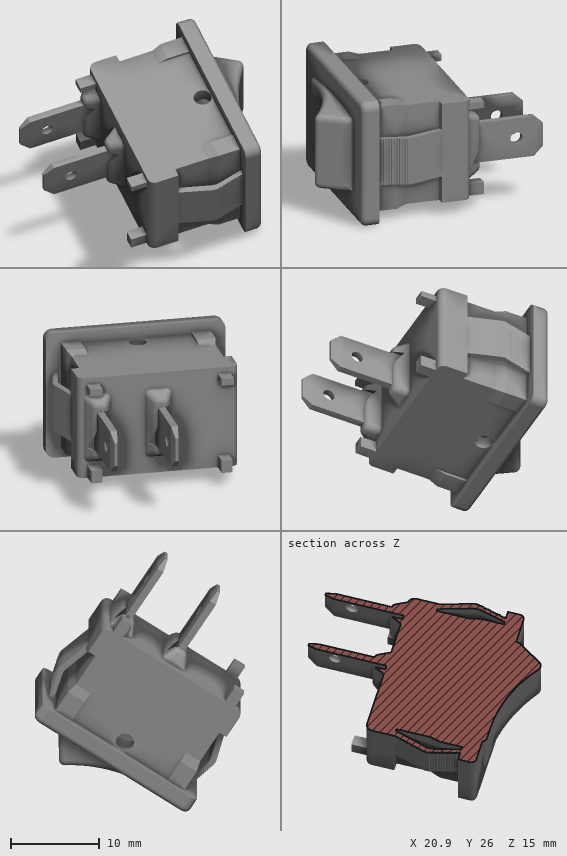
import cadquery as cq
import math


BEZEL_WIDTH = 20.77
BEZEL_HEIGHT = 14.97
BEZEL_DEPTH = 2.03
BEZEL_CORNER_RADIUS = 1.02
BEZEL_EDGE_RADIUS = 0.62

BODY_WIDTH = 16.65
BODY_HEIGHT = 11.97
BODY_DEPTH = 11.2
REAR_WIDTH = 18.55
REAR_START = 7.75
REAR_CORNER_RADIUS = 0.8

PAD_RAISE = 0.3
PAD_WIDTH = 2.2
PAD_LENGTH = 2.6
PAD_RAMP_LENGTH = 1.17

CLIP_HEIGHT = 5.57
CLIP_THICKNESS = 0.7
CLIP_SPAN = 20.9
CLIP_BEND_RADIUS = 2.7
CLIP_BEND_Y = -3.4
CLIP_FRONT_ANGLE = 15.0
CLIP_REAR_ANGLE = 17.0
TOOTH_COUNT = 12
TOOTHED_LENGTH = 3.51
TOOTH_PITCH = TOOTHED_LENGTH / TOOTH_COUNT
TOOTH_RISER = 0.05
FIRST_TOOTH_Y = -0.13

FOOT_LENGTH = 1.9
FOOT_INNER_X = 6.9
UPPER_FOOT_WIDTH = 1.43
UPPER_FOOT_HEIGHT = 0.78
UPPER_FOOT_TOP = 5.28
LOWER_FOOT_WIDTH = 1.28
LOWER_FOOT_HEIGHT = 1.48

TERMINAL_SPACING = 7.05
BLADE_THICKNESS = 0.8
BLADE_HEIGHT = 4.8
BLADE_END_Y = -20.43
BLADE_TIP_LENGTH = 1.15
BLADE_TIP_HEIGHT = 2.75
BLADE_TIP_THICKNESS = 0.35
BLADE_HOLE_DIAMETER = 1.4
BLADE_HOLE_Y = -17.2
SHROUD_WIDTH = 3.07
SHROUD_HEIGHT = 8.07
SHROUD_DEPTH = 1.65
SHROUD_WIDTH_ANGLE = 27.5
SHROUD_HEIGHT_ANGLE = 24.0
SHROUD_RADIUS = 0.7
SLOT_WIDTH = 0.9
SLOT_HEIGHT = 5.0
SLOT_TWIST = 20.0

ROCKER_TILT = 15.0
ROCKER_ROOT_Y = 0.25
ROCKER_HALF_HEIGHT = 4.95
ROCKER_SIDE_RADIUS = 54.15
ROCKER_SIDE_DRAFT = 4.0
ROCKER_EDGE_RADIUS = 0.68

PIVOT_DIAMETER = 2.03
PIVOT_Y = -1.05
PIVOT_DEPTH = 1.55
PIVOT_BEVEL_ANGLE = 30.0
PIVOT_BEVEL_OFFSET = 0.13


def box_between(x_range, y_range, z_range):
    """A box given by its lowest and highest X, Y and Z."""
    size = [high - low for low, high in (x_range, y_range, z_range)]
    return cq.Workplane("XY").box(*size, centered=False).translate((x_range[0], y_range[0], z_range[0]))


def rear_facing_plane(x, y):
    """A plane whose normal is -Y, with its local Y along +Z and its local X along +X."""
    return cq.Plane(origin=(x, y, 0), xDir=(1, 0, 0), normal=(0, -1, 0))


def mirrored_in_x(shape):
    return shape.union(shape.mirror("YZ"))


def mirrored_in_z(shape):
    return shape.union(shape.mirror("XY"))


def make_bezel():
    bezel = box_between(
        (-BEZEL_WIDTH / 2, BEZEL_WIDTH / 2), (0, BEZEL_DEPTH), (-BEZEL_HEIGHT / 2, BEZEL_HEIGHT / 2)
    )
    bezel = bezel.edges("|Y").fillet(BEZEL_CORNER_RADIUS)
    return bezel.faces(">Y").edges().fillet(BEZEL_EDGE_RADIUS)


def make_body():
    z_range = (-BODY_HEIGHT / 2, BODY_HEIGHT / 2)
    front = box_between((-BODY_WIDTH / 2, BODY_WIDTH / 2), (-BODY_DEPTH, 0), z_range)
    rear = box_between((-REAR_WIDTH / 2, REAR_WIDTH / 2), (-BODY_DEPTH, -REAR_START), z_range)
    rear = rear.edges("|Z and <Y").fillet(REAR_CORNER_RADIUS)
    return front.union(rear)


def make_pads():
    """Full-height pads on the body's two ends, ramped down to the body at the rear."""
    outer_x = BODY_WIDTH / 2 + PAD_RAISE
    inner_x = outer_x - PAD_WIDTH
    raised_height = BODY_HEIGHT + 2 * PAD_RAISE
    straight = box_between(
        (inner_x, outer_x), (-PAD_LENGTH, 0), (-raised_height / 2, raised_height / 2)
    )
    ramp_width = PAD_WIDTH - PAD_RAISE
    ramp = (
        cq.Workplane(rear_facing_plane(inner_x + PAD_WIDTH / 2, -PAD_LENGTH))
        .rect(PAD_WIDTH, raised_height)
        .workplane(offset=PAD_RAMP_LENGTH)
        .center((ramp_width - PAD_WIDTH) / 2, 0)
        .rect(ramp_width, BODY_HEIGHT)
        .loft(ruled=True)
    )
    return mirrored_in_x(straight.union(ramp))


def make_clips():
    """Bent spring arms beside the body, with saw teeth along the front half of their outer face."""
    front_slope = math.tan(math.radians(CLIP_FRONT_ANGLE))
    rear_slope = math.tan(math.radians(CLIP_REAR_ANGLE))
    reach = CLIP_SPAN / 2
    bend_x = reach - CLIP_BEND_RADIUS
    inner_radius = CLIP_BEND_RADIUS - CLIP_THICKNESS

    def on_bend(radius, angle):
        turn = math.radians(angle)
        return (bend_x + radius * math.cos(turn), CLIP_BEND_Y + radius * math.sin(turn))

    def along_slope(point, y, slope):
        return (point[0] - abs(y - point[1]) * slope, y)

    inner_front_bend = on_bend(inner_radius, CLIP_FRONT_ANGLE)
    inner_rear_bend = on_bend(inner_radius, -CLIP_REAR_ANGLE)
    outer_rear_bend = on_bend(CLIP_BEND_RADIUS, -CLIP_REAR_ANGLE)
    last_tooth_y = FIRST_TOOTH_Y - (TOOTH_COUNT - 1) * TOOTH_PITCH
    last_tooth = (reach, last_tooth_y)
    valley_run = TOOTH_PITCH - TOOTH_RISER

    first_peak = along_slope(last_tooth, FIRST_TOOTH_Y, front_slope)
    root_x = first_peak[0] - (TOOTH_PITCH + valley_run) * front_slope
    teeth = [(root_x, FIRST_TOOTH_Y + TOOTH_RISER)]
    for index in range(TOOTH_COUNT):
        peak = along_slope(last_tooth, FIRST_TOOTH_Y - index * TOOTH_PITCH, front_slope)
        teeth.append(peak)
        teeth.append(along_slope(peak, peak[1] - valley_run, front_slope))
    teeth_end_angle = math.degrees(math.asin((teeth[-1][1] - CLIP_BEND_Y) / CLIP_BEND_RADIUS))
    bend_middle_angle = (teeth_end_angle - CLIP_REAR_ANGLE) / 2

    arm = (
        cq.Workplane("XY")
        .moveTo(root_x, 0)
        .polyline(teeth, includeCurrent=True)
        .lineTo(*on_bend(CLIP_BEND_RADIUS, teeth_end_angle))
        .threePointArc(on_bend(CLIP_BEND_RADIUS, bend_middle_angle), outer_rear_bend)
        .lineTo(*along_slope(outer_rear_bend, -REAR_START, rear_slope))
        .lineTo(*along_slope(inner_rear_bend, -REAR_START, rear_slope))
        .lineTo(*inner_rear_bend)
        .threePointArc(on_bend(inner_radius, 0), inner_front_bend)
        .lineTo(*along_slope(inner_front_bend, 0, front_slope))
        .close()
        .extrude(CLIP_HEIGHT / 2, both=True)
    )
    return mirrored_in_x(arm)


def make_feet():
    y_range = (-BODY_DEPTH - FOOT_LENGTH, -BODY_DEPTH)
    upper = box_between(
        (FOOT_INNER_X, FOOT_INNER_X + UPPER_FOOT_WIDTH),
        y_range,
        (UPPER_FOOT_TOP - UPPER_FOOT_HEIGHT, UPPER_FOOT_TOP),
    )
    lower_foot_bottom = -BODY_HEIGHT / 2
    lower = box_between(
        (FOOT_INNER_X, FOOT_INNER_X + LOWER_FOOT_WIDTH),
        y_range,
        (lower_foot_bottom, lower_foot_bottom + LOWER_FOOT_HEIGHT),
    )
    return mirrored_in_x(upper.union(lower))


def make_shroud(x):
    """A tapered, rounded boss with a twisted slot around the blade."""
    top_width = SHROUD_WIDTH - 2 * SHROUD_DEPTH * math.tan(math.radians(SHROUD_WIDTH_ANGLE))
    top_height = SHROUD_HEIGHT - 2 * SHROUD_DEPTH * math.tan(math.radians(SHROUD_HEIGHT_ANGLE))
    root_plane = rear_facing_plane(x, -BODY_DEPTH)
    shroud = (
        cq.Workplane(root_plane)
        .rect(SHROUD_WIDTH, SHROUD_HEIGHT)
        .workplane(offset=SHROUD_DEPTH)
        .rect(top_width, top_height)
        .loft(ruled=True)
    )
    shroud = shroud.edges("not >Y").fillet(SHROUD_RADIUS)
    slot = (
        cq.Workplane(root_plane)
        .transformed(rotate=(0, 0, -SLOT_TWIST))
        .rect(SLOT_WIDTH, SLOT_HEIGHT)
        .extrude(SHROUD_DEPTH)
    )
    skirt = (
        cq.Workplane(root_plane)
        .rect(SHROUD_WIDTH, SHROUD_HEIGHT)
        .extrude(-REAR_CORNER_RADIUS)
        .edges("|Y")
        .fillet(SHROUD_RADIUS)
    )
    return shroud.cut(slot).union(skirt)


def make_blade(x):
    """A flat tab terminal with a hole and a tip bevelled on all four sides."""
    tip_start_y = BLADE_END_Y + BLADE_TIP_LENGTH
    shank = box_between(
        (x - BLADE_THICKNESS / 2, x + BLADE_THICKNESS / 2),
        (tip_start_y, -BODY_DEPTH),
        (-BLADE_HEIGHT / 2, BLADE_HEIGHT / 2),
    )
    tip = (
        cq.Workplane(rear_facing_plane(x, tip_start_y))
        .rect(BLADE_THICKNESS, BLADE_HEIGHT)
        .workplane(offset=BLADE_TIP_LENGTH)
        .rect(BLADE_TIP_THICKNESS, BLADE_TIP_HEIGHT)
        .loft(ruled=True)
    )
    hole = (
        cq.Workplane("YZ", origin=(x, 0, 0))
        .center(BLADE_HOLE_Y, 0)
        .circle(BLADE_HOLE_DIAMETER / 2)
        .extrude(BLADE_THICKNESS, both=True)
    )
    return shank.union(tip).cut(hole)


def make_rocker():
    """The tilted rocker: a concave finger face, with barrel-shaped, drafted sides."""
    left_root = (-6.77, ROCKER_ROOT_Y)
    left_kink = (-6.7, 2.4)
    raised_tip = (-4.35, 5.9)
    lowered_end_y = 2.4
    finger_curve_end_x = 5.4
    right_x = 7.37
    edge_margin = 0.03
    profile = (
        cq.Workplane("XY")
        .moveTo(right_x, ROCKER_ROOT_Y)
        .lineTo(right_x, lowered_end_y)
        .lineTo(finger_curve_end_x, lowered_end_y)
        .tangentArcPoint(raised_tip, relative=False)
        .lineTo(*left_kink)
        .lineTo(*left_root)
        .close()
        .extrude(ROCKER_HALF_HEIGHT, both=True)
    )
    end_x = BEZEL_WIDTH / 2
    sag = ROCKER_SIDE_RADIUS - math.sqrt(ROCKER_SIDE_RADIUS**2 - end_x**2)
    end_z = ROCKER_HALF_HEIGHT - sag
    sides = (
        cq.Workplane("XZ", origin=(0, ROCKER_ROOT_Y, 0))
        .moveTo(-end_x, -end_z)
        .threePointArc((0, -ROCKER_HALF_HEIGHT), (end_x, -end_z))
        .lineTo(end_x, end_z)
        .threePointArc((0, ROCKER_HALF_HEIGHT), (-end_x, end_z))
        .close()
        .extrude(-BODY_DEPTH, taper=ROCKER_SIDE_DRAFT)
    )
    rocker = profile.intersect(sides)
    upper_edges = cq.selectors.BoxSelector(
        (left_kink[0] + edge_margin, lowered_end_y - edge_margin, -BEZEL_HEIGHT),
        (right_x + edge_margin, raised_tip[1] + edge_margin, BEZEL_HEIGHT),
    )
    return rocker.edges(upper_edges).fillet(ROCKER_EDGE_RADIUS)


def make_pivot_holes():
    """Blind holes in the upper and lower faces; one side of each bottom slopes away deeper."""
    mouth_z = BODY_HEIGHT / 2
    bottom_z = mouth_z - PIVOT_DEPTH
    bevel_depth = PIVOT_DIAMETER * math.tan(math.radians(PIVOT_BEVEL_ANGLE))

    def drilled(depth):
        return (
            cq.Workplane("XY", origin=(0, PIVOT_Y, mouth_z - depth))
            .circle(PIVOT_DIAMETER / 2)
            .extrude(depth)
        )

    bevel = (
        cq.Workplane("YZ")
        .moveTo(0, bottom_z)
        .lineTo(-PIVOT_DIAMETER, bottom_z)
        .lineTo(-PIVOT_DIAMETER, bottom_z - bevel_depth)
        .close()
        .extrude(PIVOT_DIAMETER, both=True)
        .rotate((0, 0, 0), (0, 0, 1), -ROCKER_TILT)
        .translate((0, PIVOT_Y + PIVOT_BEVEL_OFFSET, 0))
    )
    deep = drilled(PIVOT_DEPTH + bevel_depth).intersect(bevel)
    return mirrored_in_z(drilled(PIVOT_DEPTH).union(deep))


result = make_bezel().union(make_body()).union(make_pads()).union(make_clips()).union(make_feet())
for terminal_x in (-TERMINAL_SPACING, 0):
    result = result.union(make_shroud(terminal_x)).union(make_blade(terminal_x))
result = result.union(make_rocker()).cut(make_pivot_holes())